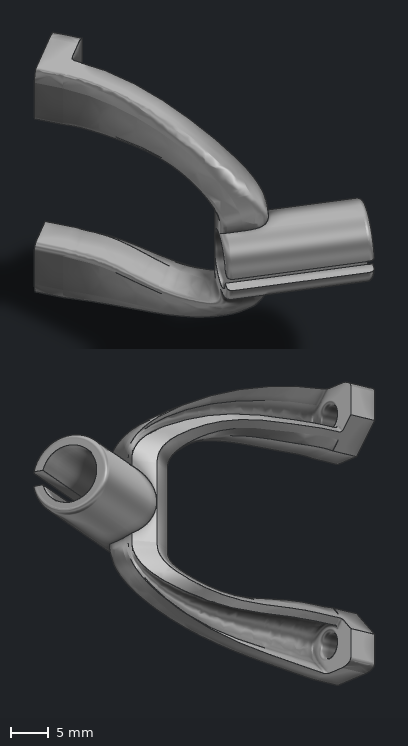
import cadquery as cq
import math

FOOT_LENGTH = 4.0
FOOT_BACK = 5.0
FOOT_FRONT = -4.0
FOOT_INNER = 11.0
FOOT_OUTER = 20.0
FOOT_SIZE = FOOT_OUTER - FOOT_INNER
FOOT_CHAMFER = 4.0
SCREW_HOLE_DIAMETER = 3.5
SCREW_HEIGHT = 16.0
HEAD_RADIUS = 6.1 / 2
GROOVE_END_RADIUS = 0.5
EDGE_TOLERANCE = 0.01
GROOVE_RIM = 3.0
RIM_ROUND_START = 1.2
RIM_ROUND_BULGE = 0.05

INNER_CORNER = 1.0
OUTER_CORNER_LONG = 2.0
OUTER_CORNER_SHORT = 1.0
DIAGONAL = math.sqrt(0.5)
INNER_CORNER_MIDDLE = INNER_CORNER * (1 - DIAGONAL)

BARREL_X = 27.95
BARREL_Y = -11.35
BARREL_Z = 0.15
BARREL_ANGLE = 28.0
BARREL_LENGTH = 20.0
BARREL_RADIUS = 5.6
BARREL_EDGE_RADIUS = 0.75
BORE_RADIUS = 4.0
SLOT_WIDTH = 2.0
CUT_CLEARANCE = 1.0

BAR_INNER_X = 26.0
BAR_WIDTH = 7.8
BAR_FRONT = -11.4
BAR_HALF_HEIGHT = BARREL_RADIUS
BAR_FLAT_END = 3.15
BAR_EDGE_DEPTH = 1.2

ARM_STATIONS = [
    (FOOT_LENGTH, FOOT_INNER, FOOT_FRONT, FOOT_SIZE, 0.0, 0.0),
    (7.0, 11.08, -4.1, 8.62, 3.0, 0.02),
    (13.0, 11.15, -5.3, 7.55, 12.0, 0.1),
    (19.5, 10.9, -7.5, 5.9, 28.0, 0.3),
    (23.6, 9.3, -9.3, 5.9, 50.0, 0.6),
    (25.6, 7.6, -10.7, 6.9, 72.0, 0.9),
    (BAR_INNER_X, BAR_HALF_HEIGHT, BAR_FRONT, BAR_WIDTH, 90.0, 1.0),
]


def ellipse_point(center, half_y, half_z, sign_y):
    """Middle point of an elliptical corner that bulges to +Z and to sign_y."""
    return (center[0] + sign_y * half_y * DIAGONAL, center[1] + half_z * DIAGONAL)


def foot():
    """Upper foot, outlined in YZ and extruded along X, with its screw hole."""
    front_center = (FOOT_FRONT + OUTER_CORNER_SHORT, FOOT_OUTER - OUTER_CORNER_LONG)
    back_center = (FOOT_BACK - OUTER_CORNER_LONG, FOOT_OUTER - OUTER_CORNER_SHORT)
    return (
        cq.Workplane("YZ")
        .moveTo(FOOT_FRONT + INNER_CORNER, FOOT_INNER)
        .threePointArc(
            (FOOT_FRONT + INNER_CORNER_MIDDLE, FOOT_INNER + INNER_CORNER_MIDDLE),
            (FOOT_FRONT, FOOT_INNER + INNER_CORNER),
        )
        .lineTo(FOOT_FRONT, front_center[1])
        .spline(
            [
                ellipse_point(front_center, OUTER_CORNER_SHORT, OUTER_CORNER_LONG, -1),
                (front_center[0], FOOT_OUTER),
            ],
            tangents=[(0, 1), (1, 0)],
            includeCurrent=True,
        )
        .lineTo(back_center[0], FOOT_OUTER)
        .spline(
            [
                ellipse_point(back_center, OUTER_CORNER_LONG, OUTER_CORNER_SHORT, 1),
                (FOOT_BACK, back_center[1]),
            ],
            tangents=[(1, 0), (0, -1)],
            includeCurrent=True,
        )
        .lineTo(FOOT_BACK, FOOT_INNER + FOOT_CHAMFER)
        .lineTo(FOOT_BACK - FOOT_CHAMFER, FOOT_INNER)
        .close()
        .extrude(FOOT_LENGTH)
        .cut(
            cq.Workplane("YZ")
            .center(0, SCREW_HEIGHT)
            .circle(SCREW_HOLE_DIAMETER / 2)
            .extrude(FOOT_LENGTH)
        )
    )


def foot_profile():
    """Arm section at the foot as (height, y) points, with the screw head groove."""
    wall = HEAD_RADIUS * DIAGONAL
    chamfer_y = FOOT_BACK - FOOT_CHAMFER
    wall_top_y = FOOT_OUTER - SCREW_HEIGHT - 2 * wall
    front_center = (FOOT_FRONT + OUTER_CORNER_SHORT, FOOT_OUTER - OUTER_CORNER_LONG)
    front_mid = ellipse_point(front_center, OUTER_CORNER_SHORT, OUTER_CORNER_LONG, -1)
    return [
        (FOOT_INNER, FOOT_FRONT + INNER_CORNER),
        (FOOT_INNER + INNER_CORNER_MIDDLE, FOOT_FRONT + INNER_CORNER_MIDDLE),
        (FOOT_INNER + INNER_CORNER, FOOT_FRONT),
        (front_center[1], FOOT_FRONT),
        (front_mid[1], front_mid[0]),
        (FOOT_OUTER, front_center[0]),
        (FOOT_OUTER, wall_top_y),
        (SCREW_HEIGHT + wall, -wall),
        (SCREW_HEIGHT - wall, -wall),
        (SCREW_HEIGHT - wall, wall),
        (SCREW_HEIGHT - GROOVE_RIM, GROOVE_RIM),
        (FOOT_INNER + RIM_ROUND_START, chamfer_y + RIM_ROUND_START),
        (
            FOOT_INNER + RIM_ROUND_START / 2 - RIM_ROUND_BULGE,
            chamfer_y + RIM_ROUND_START / 2 + RIM_ROUND_BULGE,
        ),
        (FOOT_INNER, chamfer_y),
    ]


def bar_profile():
    """Crossbar section as (x, y) points, laid out along and across the barrel."""
    along_across = [
        (0.0, -0.4),
        (0.25, -1.0),
        (0.8, -1.2),
        (3.0, -1.2),
        (6.1, -0.5),
        (6.9, 1.6),
        (6.95, 2.2),
        (6.93, 2.5),
        (6.88, 2.75),
        (6.8, 3.0),
        (4.5, 5.65),
        (BAR_EDGE_DEPTH, 5.65),
        (0.35, 4.6),
        (0.0, BAR_FLAT_END),
    ]
    return [barrel_to_part(along, across) for along, across in along_across]


def barrel_to_part(along, across):
    """Turn a point in the barrel's own frame into part x, y."""
    angle = math.radians(BARREL_ANGLE)
    x = BARREL_X + along * math.cos(angle) - across * math.sin(angle)
    y = BARREL_Y + along * math.sin(angle) + across * math.cos(angle)
    return (x, y)


def arm_section(x, z, front, width, tilt, blend):
    """Closed wire of one arm section, blended between the foot and the bar."""
    angle = math.radians(tilt)
    points = []
    for (foot_n, foot_y), (bar_n, bar_y) in zip(foot_profile(), bar_profile()):
        start_n = (foot_n - FOOT_INNER) / FOOT_SIZE
        end_n = (bar_n - BAR_INNER_X) / BAR_WIDTH
        n = width * ((1 - blend) * start_n + blend * end_n)
        y = front + (1 - blend) * (foot_y - FOOT_FRONT) + blend * (bar_y - BAR_FRONT)
        points.append(cq.Vector(x + n * math.sin(angle), y, z + n * math.cos(angle)))
    line = cq.Edge.makeLine
    arc = cq.Edge.makeThreePointArc
    p = points
    return cq.Wire.assembleEdges([
        arc(p[0], p[1], p[2]),
        line(p[2], p[3]),
        cq.Edge.makeSpline(p[3:6], tangents=[p[3] - p[2], p[6] - p[5]]),
        line(p[5], p[6]),
        line(p[6], p[7]),
        arc(p[7], p[8], p[9]),
        line(p[9], p[10]),
        line(p[10], p[11]),
        arc(p[11], p[12], p[13]),
        line(p[13], p[0]),
    ])


def arm():
    """Upper arm, a smooth loft through all the stations."""
    return cq.Workplane(cq.Solid.makeLoft([arm_section(*s) for s in ARM_STATIONS]))


def crossbar():
    """Straight bar joining the ends of both arms."""
    end = arm_section(*ARM_STATIONS[-1])
    drop = cq.Vector(0, 0, -2 * BAR_HALF_HEIGHT)
    return cq.Workplane(cq.Solid.extrudeLinear(end, [], drop))


def barrel_plane():
    """Plane of the barrel's inner end, with its normal along the barrel axis."""
    angle = math.radians(BARREL_ANGLE)
    return cq.Plane(
        origin=(BARREL_X, BARREL_Y, BARREL_Z),
        xDir=(math.sin(angle), -math.cos(angle), 0),
        normal=(math.cos(angle), math.sin(angle), 0),
    )


def barrel():
    """Solid barrel, cut back where the rounded crossbar edge crosses its end."""
    trim = (
        cq.Workplane(barrel_plane())
        .center(-BARREL_RADIUS, 0)
        .rect(2 * (BARREL_RADIUS - BAR_FLAT_END), 2 * BARREL_RADIUS)
        .extrude(BAR_EDGE_DEPTH)
        .cut(crossbar())
    )
    return (
        cq.Workplane(barrel_plane())
        .circle(BARREL_RADIUS)
        .extrude(BARREL_LENGTH)
        .edges()
        .fillet(BARREL_EDGE_RADIUS)
        .cut(trim)
    )


def barrel_opening():
    """Bore plus the slot that splits the front of the barrel along its length."""
    start = cq.Workplane(barrel_plane()).workplane(offset=-CUT_CLEARANCE)
    cut_length = BARREL_LENGTH + CUT_CLEARANCE
    bore = start.circle(BORE_RADIUS).extrude(cut_length)
    slot = (
        start
        .center(BARREL_RADIUS / 2, 0)
        .rect(BARREL_RADIUS, SLOT_WIDTH)
        .extrude(cut_length)
    )
    return bore.union(slot)


def upper_half():
    """Upper foot and arm, with the groove rounded where it runs into the foot."""
    groove_end = cq.selectors.BoxSelector(
        (FOOT_LENGTH - EDGE_TOLERANCE, -HEAD_RADIUS, SCREW_HEIGHT - HEAD_RADIUS),
        (FOOT_LENGTH + EDGE_TOLERANCE, HEAD_RADIUS, FOOT_OUTER - EDGE_TOLERANCE),
    )
    return foot().union(arm()).edges(groove_end).fillet(GROOVE_END_RADIUS)


upper = upper_half()
lower = upper.mirror("XY")
result = upper.union(crossbar()).union(lower).union(barrel()).cut(barrel_opening())